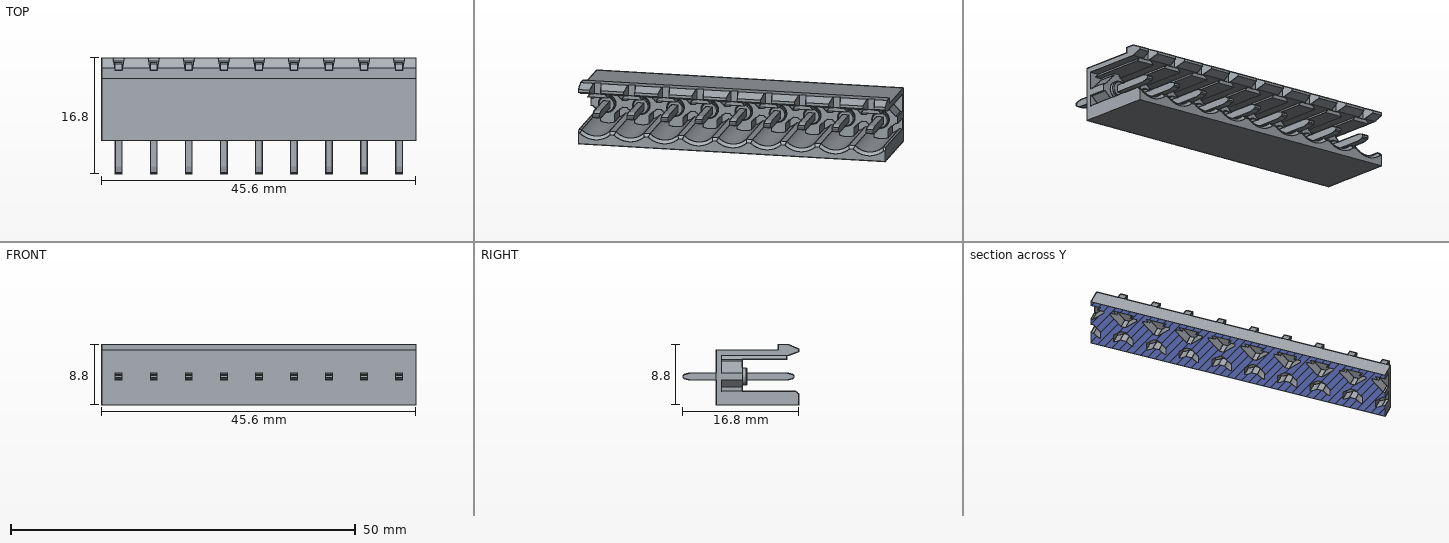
import cadquery as cq


pin_count = 9
pitch = 5.08
end_trim = 0.055
body_length = pin_count * pitch - 2 * end_trim
body_depth = 12.0
body_height = 8.0
rear_wall = 0.8
top_wall = 0.8
bottom_wall = 2.05
lip_chamfer = 0.45
ceiling_z = body_height - top_wall

ridge_height = 0.8
ridge_width = 3.0
ridge_slope = 1.5
ridge_tip_bottom = 7.75
ridge_tip_top = 8.15
notch_depth = 1.8
notch_front_width = 1.65
notch_rear_width = 1.0

pin_z = 4.15
pin_width = 1.0
pin_height = 1.05
pin_front_recess = 0.7
pin_rear_length = 4.8
pin_taper = 1.0
pin_nose = 0.2
pin_nose_height = 0.65
pin_tip_height = 0.3
pin_front_y = body_depth - pin_front_recess

trough_radius = 2.95

block_front_y = 3.8
block_foot_half_width = 1.05
block_head_half_width = 0.5
block_half_width = 2.2
block_side_height = 1.05
block_upper_z = 6.4
block_lower_z = 2.6
collar_radius = 1.25
collar_length = 0.7
collar_chamfer = 0.15

rib_bottom_z = 6.65
rib_front_y = 10.25
rib_bottom_half_width = 1.5
rib_top_half_width = 1.05

pin_positions = [(i - (pin_count - 1) / 2) * pitch for i in range(pin_count)]


def extrude_along_y(outline, y_start, y_end):
    """Extrude a closed (x, z) outline from y_start to y_end."""
    plane = cq.Workplane("XZ", origin=(0, y_start, 0))
    return plane.polyline(outline).close().extrude(y_start - y_end)


def extrude_along_x(outline, length):
    """Extrude a closed (y, z) outline to the given length, centred on X = 0."""
    return cq.Workplane("YZ").polyline(outline).close().extrude(length / 2, both=True)


def make_housing():
    """C-shaped housing with the snap ridge on its top wall."""
    ridge_start_y = body_depth - ridge_slope
    ridge_back_y = body_depth - ridge_width
    ridge_top = body_height + ridge_height
    outline = [
        (0, 0),
        (body_depth, 0),
        (body_depth, bottom_wall - lip_chamfer),
        (body_depth - lip_chamfer, bottom_wall),
        (rear_wall, bottom_wall),
        (rear_wall, ceiling_z),
        (ridge_start_y, ceiling_z),
        (body_depth, ridge_tip_bottom),
        (body_depth, ridge_tip_top),
        (ridge_start_y, ridge_top),
        (ridge_back_y, ridge_top),
        (ridge_back_y, body_height),
        (0, body_height),
    ]
    return extrude_along_x(outline, body_length)


def make_trough(x):
    """Cylinder around a pin, flared at the front to carry the lip chamfer."""
    front_radius = trough_radius + lip_chamfer
    flare_y = body_depth - lip_chamfer
    outline = [
        (x, rear_wall),
        (x + trough_radius, rear_wall),
        (x + trough_radius, flare_y),
        (x + front_radius, body_depth),
        (x, body_depth),
    ]
    trough = (
        cq.Workplane("XY", origin=(0, 0, pin_z))
        .polyline(outline)
        .close()
        .revolve(360, (x, 0, 0), (x, 1, 0))
    )
    lower_half = cq.Workplane("XY").box(
        2 * front_radius, body_depth, pin_z, centered=(True, False, False)
    )
    return trough.intersect(lower_half.translate((x, 0, 0)))


def make_notch(x):
    """Tapered notch through the snap ridge in front of a pin."""
    outline = [
        (x - notch_front_width / 2, body_depth),
        (x + notch_front_width / 2, body_depth),
        (x + notch_rear_width / 2, body_depth - notch_depth),
        (x - notch_rear_width / 2, body_depth - notch_depth),
    ]
    plane = cq.Workplane("XY", origin=(0, 0, ceiling_z))
    return plane.polyline(outline).close().extrude(top_wall + ridge_height)


def make_block(x):
    """Support block: narrow at head and foot, with a wider bulge at pin height."""
    side_top = pin_z + block_side_height / 2
    side_bottom = pin_z - block_side_height / 2
    foot_bottom = pin_z - trough_radius
    right_side = [
        (block_foot_half_width, foot_bottom),
        (block_foot_half_width, block_lower_z),
        (block_half_width, side_bottom),
        (block_half_width, side_top),
        (block_head_half_width, block_upper_z),
        (block_head_half_width, ceiling_z),
    ]
    left_side = [(-dx, z) for dx, z in reversed(right_side)]
    outline = [(x + dx, z) for dx, z in right_side + left_side]
    return extrude_along_y(outline, 0, block_front_y)


def make_web():
    """Web at pin height that joins the support blocks along the whole row."""
    web = cq.Workplane("XY").box(
        body_length, block_front_y, block_side_height, centered=(True, False, True)
    )
    return web.translate((0, 0, pin_z))


def make_collar(x):
    """Round collar standing on the front of the support block."""
    plane = cq.Workplane("XZ", origin=(x, block_front_y, pin_z))
    collar = plane.circle(collar_radius).extrude(-collar_length)
    return collar.faces(">Y").chamfer(collar_chamfer)


def make_rib(x):
    """Dovetail rib hanging from the ceiling."""
    outline = [
        (x - rib_bottom_half_width, rib_bottom_z),
        (x + rib_bottom_half_width, rib_bottom_z),
        (x + rib_top_half_width, ceiling_z),
        (x - rib_top_half_width, ceiling_z),
    ]
    return extrude_along_y(outline, 0, rib_front_y)


def make_pin(x):
    """Flat-sided pin with both ends tapered in height."""
    front_half = [
        (pin_front_y - pin_taper, pin_height / 2),
        (pin_front_y - pin_nose, pin_nose_height / 2),
        (pin_front_y, pin_tip_height / 2),
    ]
    rear_half = [
        (-pin_rear_length, pin_tip_height / 2),
        (pin_nose - pin_rear_length, pin_nose_height / 2),
        (pin_taper - pin_rear_length, pin_height / 2),
    ]
    upper = rear_half + front_half
    lower = [(y, -dz) for y, dz in reversed(upper)]
    outline = [(y, pin_z + dz) for y, dz in upper + lower]
    return extrude_along_x(outline, pin_width).translate((x, 0, 0))


housing = make_housing()
for pin_x in pin_positions:
    housing = housing.cut(make_trough(pin_x)).cut(make_notch(pin_x))

for pin_x in pin_positions:
    housing = housing.union(make_block(pin_x)).union(make_rib(pin_x))

housing = housing.union(make_web())

for pin_x in pin_positions:
    housing = housing.union(make_collar(pin_x)).union(make_pin(pin_x))

result = housing